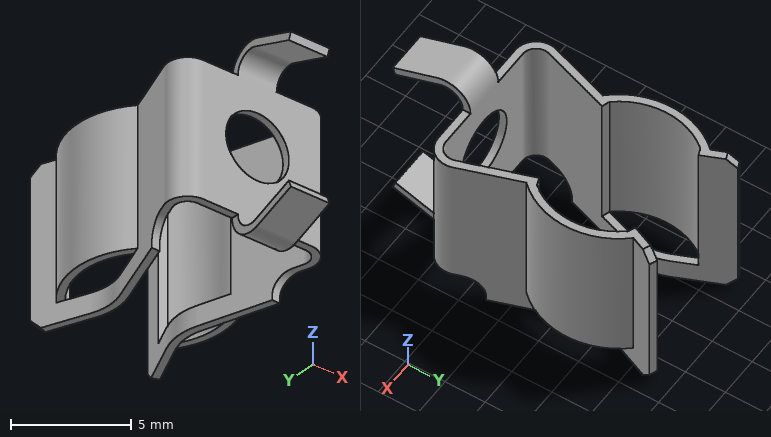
import cadquery as cq
import math

thickness = 0.4
half_width = 3.93
plate_height = 6.89
hole_diameter = 3.35
hole_height = 3.74

corner_radius = 1.06
leg_lean = math.radians(18.7)
flare_lean = math.radians(23)
waist_radius = 2.93
waist_half_gap = 1.65
arm_tip_y = 11.05
arm_bottom = -1.22
tip_chamfer = 0.5

grip_center_y = 7.1
grip_bottom = -0.2
grip_inner_radius = half_width - thickness

relief_end_y = 2.77
relief_radius = 0.99

tab_width = 2.07
tab_rise = 1.28
tab_radius = 1.25
tab_slope = math.radians(20)
tab_tip_y = -3.51

clearance = 1.16


def offset(point, direction, distance):
    return (point[0] + distance * direction[0], point[1] + distance * direction[1])


def prism(outline, bottom, top):
    """Extrude a closed XY outline between two heights."""
    return outline.extrude(top - bottom).translate((0, 0, bottom))


leg_normal = (math.cos(leg_lean), -math.sin(leg_lean))
flare_along = (-math.sin(flare_lean), math.cos(flare_lean))
flare_normal = (math.cos(flare_lean), math.sin(flare_lean))

corner_center = (corner_radius - half_width, corner_radius)
corner_inner_radius = corner_radius - thickness
waist_outer_radius = waist_radius - thickness

waist_x = -waist_half_gap - waist_radius
tangent_span = corner_inner_radius + waist_radius
waist_rise = (tangent_span + (waist_x - corner_center[0]) * leg_normal[0]) / math.sin(leg_lean)
waist_center = (waist_x, corner_center[1] + waist_rise)

leg_start_outer = offset(corner_center, leg_normal, -corner_radius)
leg_start_inner = offset(corner_center, leg_normal, -corner_inner_radius)
leg_end_outer = offset(waist_center, leg_normal, waist_outer_radius)
leg_end_inner = offset(waist_center, leg_normal, waist_radius)
flare_start_outer = offset(waist_center, flare_normal, waist_outer_radius)
flare_start_inner = offset(waist_center, flare_normal, waist_radius)
flare_length = (arm_tip_y - flare_start_inner[1]) / flare_along[1]
tip_outer = offset(flare_start_outer, flare_along, flare_length)
tip_inner = offset(flare_start_inner, flare_along, flare_length)


def corner_middle(radius):
    """Point halfway round the corner bend."""
    angle = math.pi + (math.pi / 2 - leg_lean) / 2
    return offset(corner_center, (math.cos(angle), math.sin(angle)), radius)


def grip_crossing(normal, side):
    """Where the grip's inner circle meets the outer face of a straight stretch.

    The face has the given normal; side is -1 for the leg and +1 for the flare.
    """
    face_distance = (
        waist_center[0] * normal[0]
        + (waist_center[1] - grip_center_y) * normal[1]
        + waist_outer_radius
    )
    nearest = offset((0, grip_center_y), normal, face_distance)
    half_chord = math.sqrt(grip_inner_radius**2 - face_distance**2)
    along = (-normal[1], normal[0])
    return offset(nearest, along, side * half_chord)


def make_strip():
    """Left half of the plate and the left arm, at full height."""
    outline = (
        cq.Workplane("XY")
        .moveTo(0, 0)
        .lineTo(corner_center[0], 0)
        .threePointArc(corner_middle(corner_radius), leg_start_outer)
        .lineTo(*leg_end_outer)
        .threePointArc((waist_x + waist_outer_radius, waist_center[1]), flare_start_outer)
        .lineTo(*tip_outer)
        .lineTo(*tip_inner)
        .lineTo(*flare_start_inner)
        .threePointArc((waist_x + waist_radius, waist_center[1]), leg_end_inner)
        .lineTo(*leg_start_inner)
        .threePointArc(corner_middle(corner_inner_radius), (corner_center[0], thickness))
        .lineTo(0, thickness)
        .close()
    )
    return prism(outline, arm_bottom, plate_height)


def make_grip_opening():
    """Stretch of the arm that the grip replaces, cut square to the sheet."""
    leg_point = grip_crossing(leg_normal, -1)
    flare_point = grip_crossing(flare_normal, 1)
    reach = thickness + clearance
    corners = [
        leg_point,
        offset(leg_point, leg_normal, reach),
        offset(flare_point, flare_normal, reach),
        flare_point,
    ]
    return prism(cq.Workplane("XY").polyline(corners).close(), grip_bottom, plate_height)


def make_grip():
    """Part of a ring outside the arm's outer face."""
    ring = cq.Workplane("XY").center(0, grip_center_y).circle(half_width).circle(grip_inner_radius)
    outer_x = -half_width - clearance
    outside = [
        leg_start_outer,
        leg_end_outer,
        flare_start_outer,
        tip_outer,
        (outer_x, tip_outer[1]),
        (outer_x, leg_start_outer[1]),
    ]
    keep = prism(cq.Workplane("XY").polyline(outside).close(), grip_bottom, plate_height)
    return prism(ring, grip_bottom, plate_height).intersect(keep)


def make_relief():
    """Space below the plate and corner bend, with a rounded upper corner."""
    depth = -arm_bottom + clearance
    width = half_width + clearance
    return (
        cq.Workplane("XY")
        .box(width, relief_end_y + clearance, depth, centered=False)
        .translate((-width, -clearance, -depth))
        .edges("|X and >Y and >Z")
        .fillet(relief_radius)
    )


def make_tip_chamfers():
    """Corner wedges at the free end, square to the flared sheet."""
    plane = cq.Plane(
        origin=(*offset(tip_outer, flare_normal, -clearance), 0),
        xDir=(*flare_along, 0),
        normal=(*flare_normal, 0),
    )
    wedges = cq.Workplane("XY")
    for edge, inward in ((plate_height, -1), (arm_bottom, 1)):
        corners = [
            (0, edge),
            (-tip_chamfer, edge),
            (0, edge + inward * tip_chamfer),
        ]
        wedge = cq.Workplane(plane).polyline(corners).close().extrude(thickness + 2 * clearance)
        wedges = wedges.add(wedge)
    return wedges.combine()


def make_upper_tab():
    """Tab that rises from the plate, curls forward and slopes down."""
    center = (thickness - tab_radius, plate_height + tab_rise - tab_radius)
    inner_radius = tab_radius - thickness
    normal = (-math.sin(tab_slope), math.cos(tab_slope))
    along = (-math.cos(tab_slope), -math.sin(tab_slope))
    middle_angle = (math.pi / 2 + tab_slope) / 2
    middle = (math.cos(middle_angle), math.sin(middle_angle))

    bend_outer = offset(center, normal, tab_radius)
    bend_inner = offset(center, normal, inner_radius)
    length = (tab_tip_y - bend_outer[0]) / along[0]
    return (
        cq.Workplane("YZ")
        .moveTo(thickness, plate_height)
        .lineTo(thickness, center[1])
        .threePointArc(offset(center, middle, tab_radius), bend_outer)
        .lineTo(*offset(bend_outer, along, length))
        .lineTo(*offset(bend_inner, along, length))
        .lineTo(*bend_inner)
        .threePointArc(offset(center, middle, inner_radius), (0, center[1]))
        .lineTo(0, plate_height)
        .close()
        .extrude(tab_width / 2, both=True)
    )


left_half = make_strip().cut(make_relief()).cut(make_grip_opening())
left_half = left_half.union(make_grip()).cut(make_tip_chamfers())
clip = left_half.union(left_half.mirror("YZ"))

upper_tab = make_upper_tab()
lower_tab = upper_tab.mirror("XY", (0, 0, plate_height / 2))
clip = clip.union(upper_tab).union(lower_tab)

hole = (
    cq.Workplane("XZ")
    .center(0, hole_height)
    .circle(hole_diameter / 2)
    .extrude(-thickness)
)
result = clip.cut(hole)